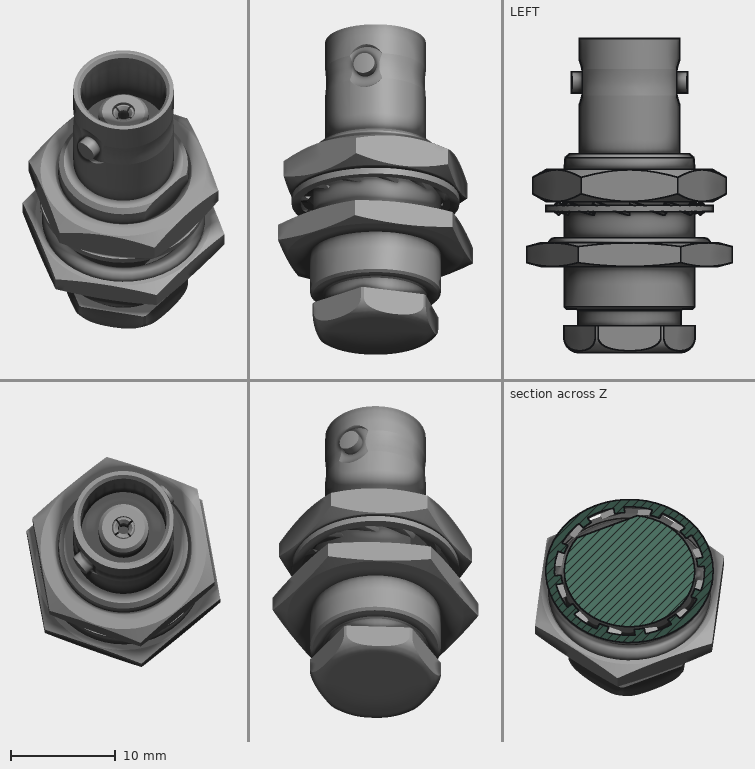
import cadquery as cq
import math


TOP_Z = 30.0

FOOT_FLATS = 11.0
FOOT_TOP_Z = 2.58
FOOT_CORNER_R = 6.27
FOOT_EDGE_ROUND = 1.5

NECK_R = 4.92
NECK_LIP = 0.15

SHAFT_R = 6.25
SLEEVE_BOTTOM_Z = 4.17
SLEEVE_CHAMFER = 0.25
SHAFT_TOP_Z = 19.0
SHAFT_TOP_R = 5.7
SHAFT_LEAD_Z = 18.6
SHAFT_LEAD_R = 6.15
KEY_FLAT_X = 5.4

FLANGE_FLATS = 17.0
FLANGE_BOTTOM_Z = 8.22
FLANGE_TOP_Z = 10.5
FLANGE_CHAMFER_ANGLE = 15.0
RING_R = 7.02
RING_TUBE_R = 0.78
RING_TOP_Z = 10.98
RING_Z = RING_TOP_Z - RING_TUBE_R
RING_GROOVE_R = 7.98

BARREL_R = 4.8
MOUTH_R = 4.4
MOUTH_CHAMFER = 0.3
BORE_R = 4.05
BORE_FLOOR_Z = 24.0

LUG_Z = 25.8
LUG_R = 1.02
LUG_REACH = 5.55
LUG_ROOT = 4.35
WAIST_R = 4.7
WAIST_HALF_HEIGHT = 1.25
RECESS_FLAT_Y = 4.53
RECESS_FLOOR_R = 2.0
RECESS_RIM_R = 2.2

BOSS_TOP_Z = 26.65
BOSS_R = 2.37
BOSS_CHAMFER = 0.33
CONTACT_R = 1.1
CONTACT_TOP_Z = BOSS_TOP_Z - 0.18
CONTACT_CHAMFER = 0.15
CONTACT_MOUTH_R = 0.85
CONTACT_BORE_R = 0.55
CONTACT_DEPTH = 1.8
CONTACT_SLOT = 0.18

HEX_FACE_RATIO = 0.99

NUT_FLATS = 16.0
NUT_TOP_Z = 17.5
NUT_HEIGHT = 3.1
NUT_BOTTOM_Z = NUT_TOP_Z - NUT_HEIGHT
NUT_CHAMFER_ANGLE = 30.0
NUT_BORE_R = 5.88
NUT_BORE_MOUTH_R = 6.5

WASHER_R = 8.0
WASHER_INNER_R = 7.15
WASHER_TOP_Z = 14.07
WASHER_THICKNESS = 0.6
WASHER_MID_Z = WASHER_TOP_Z - WASHER_THICKNESS / 2
TOOTH_COUNT = 12
TOOTH_OUTER_R = 7.23
TOOTH_TIP_R = 6.75
TOOTH_INNER_R = 6.5
TOOTH_TIP_RISE = NUT_BOTTOM_Z - WASHER_MID_Z
TOOTH_THICKNESS = 0.3
TOOTH_TILT = 17.0


def revolve_profile(profile):
    """Turn a closed (radius, z) sketch on the XZ plane once around Z."""
    return profile.close().revolve(360, (0, 0, 0), (0, 1, 0))


def turned(points):
    """Solid of revolution around Z from straight-sided (radius, z) points."""
    return revolve_profile(cq.Workplane("XZ").polyline(points))


def cylinder(radius, bottom, top):
    return cq.Workplane("XY").workplane(offset=bottom).circle(radius).extrude(top - bottom)


def hex_prism(flats, bottom, top):
    """Hexagonal prism with corners on the Y axis and flats facing +X and -X."""
    corners = flats / math.cos(math.radians(30))
    prism = cq.Workplane("XY").workplane(offset=bottom).polygon(6, corners).extrude(top - bottom)
    return prism.rotate((0, 0, 0), (0, 0, 1), 30)


def chamfered_hex(flats, bottom, top, angle):
    """Hex prism whose corners are cut by cones that start just inside the flats."""
    face_r = HEX_FACE_RATIO * flats / 2
    corner_r = flats / 2 / math.cos(math.radians(30))
    drop = (corner_r - face_r) * math.tan(math.radians(angle))
    cones = turned([
        (0, bottom),
        (face_r, bottom),
        (corner_r, bottom + drop),
        (corner_r, top - drop),
        (face_r, top),
        (0, top),
    ])
    return hex_prism(flats, bottom, top).intersect(cones)



def make_foot():
    """Clamp hex with turned corners and a rounded lower edge."""
    blank = cylinder(FOOT_CORNER_R, 0, FOOT_TOP_Z).faces("<Z").edges().fillet(FOOT_EDGE_ROUND)
    return hex_prism(FOOT_FLATS, 0, FOOT_TOP_Z).intersect(blank)


def make_shaft():
    """Neck, rear sleeve and threaded shaft, up to the tapered lead."""
    return turned([
        (0, FOOT_TOP_Z),
        (NECK_R, FOOT_TOP_Z),
        (NECK_R, SLEEVE_BOTTOM_Z - NECK_LIP),
        (NECK_R + NECK_LIP, SLEEVE_BOTTOM_Z),
        (SHAFT_R - SLEEVE_CHAMFER, SLEEVE_BOTTOM_Z),
        (SHAFT_R, SLEEVE_BOTTOM_Z + SLEEVE_CHAMFER),
        (SHAFT_R, NUT_TOP_Z),
        (SHAFT_LEAD_R, SHAFT_LEAD_Z),
        (SHAFT_TOP_R, SHAFT_TOP_Z),
        (0, SHAFT_TOP_Z),
    ])


def cut_key_flat(shaft):
    """Flat along the +X side of the shaft, above the flange."""
    length = SHAFT_TOP_Z - FLANGE_TOP_Z
    cutter = (
        cq.Workplane("XY")
        .box(SHAFT_R, 2 * SHAFT_R, length, centered=(False, True, False))
        .translate((KEY_FLAT_X, 0, FLANGE_TOP_Z))
    )
    return shaft.cut(cutter)


def make_flange():
    """Hex flange with an annular groove that holds the sealing ring."""
    flange = chamfered_hex(FLANGE_FLATS, FLANGE_BOTTOM_Z, FLANGE_TOP_Z, FLANGE_CHAMFER_ANGLE)
    groove = cylinder(RING_GROOVE_R, RING_Z, FLANGE_TOP_Z)
    ring = revolve_profile(
        cq.Workplane("XZ")
        .moveTo(RING_R - RING_TUBE_R, RING_Z)
        .threePointArc((RING_R, RING_TOP_Z), (RING_R + RING_TUBE_R, RING_Z))
    )
    return flange.cut(groove).union(ring)


def make_barrel():
    """Bayonet barrel with a shallow arched waist at the lugs."""
    return revolve_profile(
        cq.Workplane("XZ")
        .moveTo(0, SHAFT_TOP_Z)
        .lineTo(BARREL_R, SHAFT_TOP_Z)
        .lineTo(BARREL_R, LUG_Z - WAIST_HALF_HEIGHT)
        .threePointArc((WAIST_R, LUG_Z), (BARREL_R, LUG_Z + WAIST_HALF_HEIGHT))
        .lineTo(BARREL_R, TOP_Z)
        .lineTo(0, TOP_Z)
    )


def make_lug_recess():
    """Conical pocket cutter on the -Y side, with a flat floor."""
    depth = BARREL_R - RECESS_FLAT_Y
    cone = cq.Solid.makeCone(
        RECESS_FLOOR_R,
        RECESS_RIM_R,
        depth,
        pnt=cq.Vector(0, -RECESS_FLAT_Y, LUG_Z),
        dir=cq.Vector(0, -1, 0),
    )
    return cq.Workplane(cone)


def make_lug():
    """Round lug on the -Y side, its end turned to the reach radius."""
    stud = (
        cq.Workplane("XZ", origin=(0, -LUG_ROOT, LUG_Z))
        .circle(LUG_R)
        .extrude(LUG_REACH - LUG_ROOT)
    )
    return stud.intersect(cylinder(LUG_REACH, LUG_Z - LUG_R, LUG_Z + LUG_R))


def make_bore():
    """Mating bore cutter: chamfered mouth, then a slight taper down to the floor."""
    return turned([
        (0, BORE_FLOOR_Z),
        (BORE_R, BORE_FLOOR_Z),
        (MOUTH_R - MOUTH_CHAMFER, TOP_Z - MOUTH_CHAMFER),
        (MOUTH_R, TOP_Z),
        (0, TOP_Z),
    ])


def make_boss_and_contact():
    """Insulator boss with the sunk socket contact, slotted into four fingers."""
    contact_floor_z = CONTACT_TOP_Z - CONTACT_DEPTH
    boss = turned([
        (0, BORE_FLOOR_Z),
        (BOSS_R, BORE_FLOOR_Z),
        (BOSS_R, BOSS_TOP_Z - BOSS_CHAMFER),
        (BOSS_R - BOSS_CHAMFER, BOSS_TOP_Z),
        (CONTACT_R, BOSS_TOP_Z),
        (CONTACT_R, CONTACT_TOP_Z - CONTACT_CHAMFER),
        (CONTACT_R - CONTACT_CHAMFER, CONTACT_TOP_Z),
        (CONTACT_MOUTH_R, CONTACT_TOP_Z),
        (CONTACT_BORE_R, CONTACT_TOP_Z - (CONTACT_MOUTH_R - CONTACT_BORE_R)),
        (CONTACT_BORE_R, contact_floor_z),
        (0, contact_floor_z),
    ])
    slots = (
        cq.Workplane("XY")
        .workplane(offset=contact_floor_z)
        .rect(2 * CONTACT_R, CONTACT_SLOT)
        .extrude(CONTACT_DEPTH)
    )
    slots = slots.union(slots.rotate((0, 0, 0), (0, 0, 1), 90))
    slots = slots.intersect(cylinder(CONTACT_R, contact_floor_z, CONTACT_TOP_Z))
    return boss.cut(slots)


def make_body(nut):
    """Complete connector body, its thread cut to match the nut screwed onto it."""
    barrel = make_barrel()
    for turn in (0, 180):
        barrel = barrel.cut(make_lug_recess().rotate((0, 0, 0), (0, 0, 1), turn))
        barrel = barrel.union(make_lug().rotate((0, 0, 0), (0, 0, 1), turn))
    shaft = cut_key_flat(make_shaft())
    body = make_foot().union(make_flange()).union(shaft).union(barrel)
    return body.cut(make_bore()).union(make_boss_and_contact()).cut(nut)



def make_nut():
    """Hex nut, chamfered on both faces outside and at both ends of the bore."""
    nut = chamfered_hex(NUT_FLATS, NUT_BOTTOM_Z, NUT_TOP_Z, NUT_CHAMFER_ANGLE)
    mouth_depth = NUT_BORE_MOUTH_R - NUT_BORE_R
    bore = turned([
        (0, NUT_BOTTOM_Z),
        (NUT_BORE_MOUTH_R, NUT_BOTTOM_Z),
        (NUT_BORE_R, NUT_BOTTOM_Z + mouth_depth),
        (NUT_BORE_R, NUT_TOP_Z - mouth_depth),
        (NUT_BORE_MOUTH_R, NUT_TOP_Z),
        (0, NUT_TOP_Z),
    ])
    return nut.cut(bore)



def make_tooth():
    """One tooth: a tilted slab trimmed to a pointed radial section, centred on +X."""
    pitch = 360 / TOOTH_COUNT
    half = WASHER_THICKNESS / 2
    section = [
        (TOOTH_INNER_R, -half),
        (TOOTH_TIP_R, -TOOTH_TIP_RISE),
        (TOOTH_OUTER_R, -half),
        (TOOTH_OUTER_R, half),
        (TOOTH_TIP_R, TOOTH_TIP_RISE),
        (TOOTH_INNER_R, half),
    ]
    sector = (
        cq.Workplane("XZ")
        .polyline(section)
        .close()
        .revolve(pitch, (0, 0, 0), (0, 1, 0))
        .rotate((0, 0, 0), (0, 0, 1), -pitch / 2)
    )
    slab = (
        cq.Workplane("XY")
        .box(2 * WASHER_R, 2 * WASHER_R, TOOTH_THICKNESS)
        .rotate((0, 0, 0), (1, 0, 0), -TOOTH_TILT)
    )
    return sector.intersect(slab).translate((0, 0, WASHER_MID_Z))


def make_washer():
    """Flat ring with a circle of inward teeth, each twisted up at one side."""
    pitch = 360 / TOOTH_COUNT
    bottom = WASHER_TOP_Z - WASHER_THICKNESS
    washer = cylinder(WASHER_R, bottom, WASHER_TOP_Z).cut(cylinder(WASHER_INNER_R, bottom, WASHER_TOP_Z))
    tooth = make_tooth()
    for index in range(TOOTH_COUNT):
        washer = washer.union(tooth.rotate((0, 0, 0), (0, 0, 1), (index + 0.5) * pitch))
    return washer


nut = make_nut()
washer = make_washer()
body = make_body(nut)

result = cq.Compound.makeCompound([body.solids().val(), nut.solids().val(), washer.solids().val()])